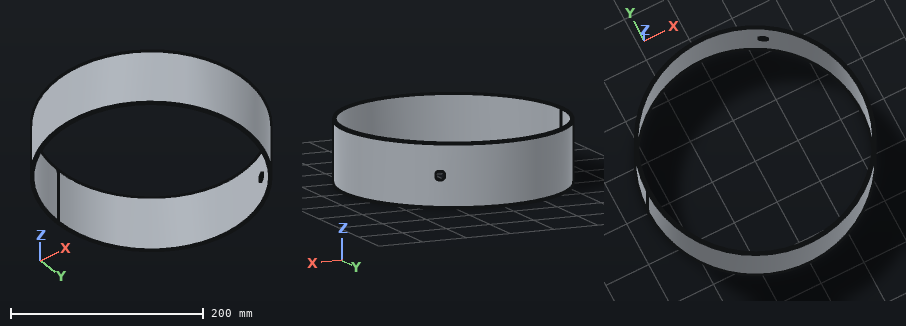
import cadquery as cq
import math

outer_diameter = 250.0
wall_thickness = 2.5
height = 70.0
outer_bevel_height = 1.8
outer_bevel_angle = 20.0
inner_bevel = 0.8
gap_angle = 1.0
hole_diameter = 10.0
hole_angle_from_end = 120.0

outer_radius = outer_diameter / 2
inner_radius = outer_radius - wall_thickness
outer_bevel_depth = outer_bevel_height * math.tan(math.radians(outer_bevel_angle))
mid_height = height / 2
start_angle = 180.0
band_angle = 360.0 - gap_angle
hole_angle = start_angle - gap_angle - hole_angle_from_end


def make_band():
    """Open band: the bevelled wall section swept around Z from -X, through -Y, almost back to -X."""
    rim_outer_radius = outer_radius - outer_bevel_depth
    rim_inner_radius = inner_radius + inner_bevel
    wall_section = [
        (-inner_radius, inner_bevel),
        (-rim_inner_radius, 0),
        (-rim_outer_radius, 0),
        (-outer_radius, outer_bevel_height),
        (-outer_radius, height - outer_bevel_height),
        (-rim_outer_radius, height),
        (-rim_inner_radius, height),
        (-inner_radius, height - inner_bevel),
    ]
    return cq.Workplane("XZ").polyline(wall_section).close().revolve(band_angle, (0, 0, 0), (0, 1, 0))


def make_hole():
    """Radial drill at mid height, reaching from the band axis out past one side of the wall."""
    drill = cq.Workplane("YZ").circle(hole_diameter / 2).extrude(outer_diameter)
    return drill.rotate((0, 0, 0), (0, 0, 1), hole_angle).translate((0, 0, mid_height))


result = make_band().cut(make_hole())